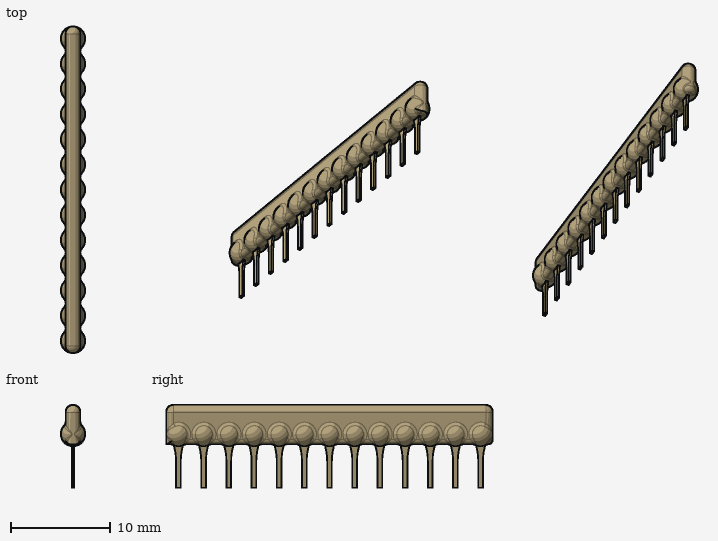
import cadquery as cq


TOTAL_HEIGHT = 8.38
BODY_LENGTH = 32.97
BODY_HEIGHT = 4.0
BODY_THICKNESS = 1.5
BOTTOM_FILLET = 0.5

PIN_COUNT = 13
PIN_PITCH = 2.54
PIN_WIDTH = 0.5
PIN_THICKNESS = 0.25
SHOULDER_WIDTH = 0.9
SHOULDER_LENGTH = 1.5

BEAD_RADIUS = 1.24
BEAD_BELOW_TOP = 2.95
BEAD_BLEND = 0.5

HALF_THICKNESS = BODY_THICKNESS / 2
CROWN_Z = BODY_HEIGHT - HALF_THICKNESS
BEAD_Z = BODY_HEIGHT - BEAD_BELOW_TOP
BEAD_CENTER = cq.Vector(0, 0, BEAD_Z)
BEAD_BOTTOM_Z = BEAD_Z - BEAD_RADIUS
PIN_TIP_Z = BODY_HEIGHT - TOTAL_HEIGHT
LAST_PIN_Y = (PIN_COUNT - 1) / 2 * PIN_PITCH
PIN_POSITIONS = [i * PIN_PITCH - LAST_PIN_Y for i in range(PIN_COUNT)]
HALF_PITCH = PIN_PITCH / 2
END_AXIS_OFFSET = BODY_LENGTH / 2 - HALF_THICKNESS - LAST_PIN_Y

TOLERANCE = 1e-4
EDGE_MIDDLE = 0.5


def bar(start_y, end_y):
    """Straight bar with a half-round crown and filleted bottom edges."""
    flat = HALF_THICKNESS - BOTTOM_FILLET
    profile = (
        cq.Workplane("XZ", origin=(0, end_y, 0))
        .moveTo(-flat, 0)
        .lineTo(flat, 0)
        .radiusArc((HALF_THICKNESS, BOTTOM_FILLET), -BOTTOM_FILLET)
        .lineTo(HALF_THICKNESS, CROWN_Z)
        .threePointArc((0, BODY_HEIGHT), (-HALF_THICKNESS, CROWN_Z))
        .lineTo(-HALF_THICKNESS, BOTTOM_FILLET)
        .radiusArc((-flat, 0), -BOTTOM_FILLET)
        .close()
    )
    return profile.extrude(end_y - start_y)


def domed_post(bottom_fillet):
    """Vertical post with a domed top that rounds a bar end, standing on the Z axis."""
    outline = cq.Workplane("XZ").lineTo(HALF_THICKNESS - bottom_fillet, 0)
    if bottom_fillet > 0:
        outline = outline.radiusArc((HALF_THICKNESS, bottom_fillet), -bottom_fillet)
    outline = (
        outline.lineTo(HALF_THICKNESS, CROWN_Z)
        .radiusArc((0, BODY_HEIGHT), -HALF_THICKNESS)
        .close()
    )
    return outline.revolve(360, (0, 0, 0), (0, 1, 0))


def front_post():
    """Post at the -Y end: its foot is trimmed by the bar's bottom fillets only."""
    return domed_post(0).intersect(bar(-HALF_THICKNESS, HALF_THICKNESS))


def back_post():
    """Post at the +Y end: the bottom fillet runs around its foot."""
    return domed_post(BOTTOM_FILLET)


def on_bead(point):
    return abs((point - BEAD_CENTER).Length - BEAD_RADIUS) < TOLERANCE


def add_bead(section):
    """Join a bead to a bar section and blend the seam between the two."""
    bead = cq.Workplane("XY").sphere(BEAD_RADIUS).rotate((0, 0, 0), (1, 0, 0), 90)
    joined = section.union(bead.translate((0, 0, BEAD_Z)))
    seam = [
        edge
        for edge in joined.edges().vals()
        if on_bead(edge.startPoint()) and on_bead(edge.positionAt(EDGE_MIDDLE))
    ]
    return joined.newObject(seam).fillet(BEAD_BLEND)


def pin():
    """Flat lead whose sides curve out into a wider shoulder under the bead."""
    half_width = PIN_WIDTH / 2
    half_shoulder = SHOULDER_WIDTH / 2
    half = (
        cq.Workplane("YZ")
        .moveTo(0, PIN_TIP_Z)
        .lineTo(half_width, PIN_TIP_Z)
        .lineTo(half_width, BEAD_BOTTOM_Z - SHOULDER_LENGTH)
        .tangentArcPoint((half_shoulder, BEAD_BOTTOM_Z), relative=False)
        .lineTo(half_shoulder, BEAD_Z)
        .lineTo(0, BEAD_Z)
        .close()
        .extrude(PIN_THICKNESS / 2, both=True)
    )
    return half.union(half.mirror("XZ"))


def build():
    lead = pin()
    front = bar(-END_AXIS_OFFSET, HALF_PITCH).union(front_post().translate((0, -END_AXIS_OFFSET, 0)))
    back = bar(-HALF_PITCH, END_AXIS_OFFSET).union(back_post().translate((0, END_AXIS_OFFSET, 0)))
    front_section = add_bead(front).union(lead)
    middle_section = add_bead(bar(-HALF_PITCH, HALF_PITCH)).union(lead)
    back_section = add_bead(back).union(lead)

    sections = [front_section] + [middle_section] * (PIN_COUNT - 2) + [back_section]
    body = cq.Workplane("XY")
    for section, y in zip(sections, PIN_POSITIONS):
        body = body.add(section.translate((0, y, 0)))
    return body.combine().solids()


result = build()